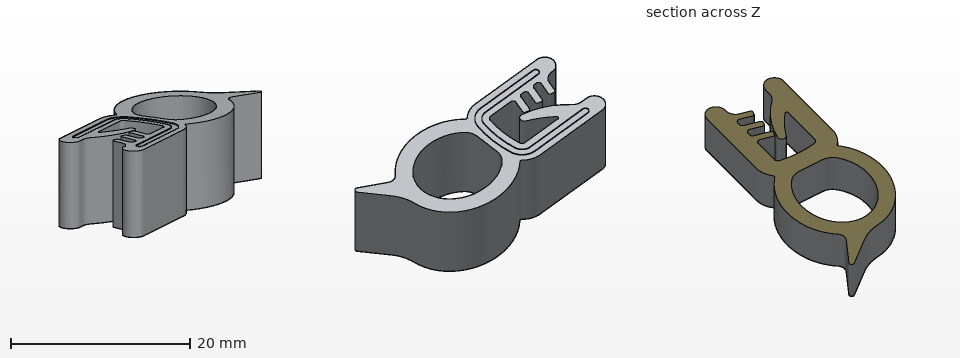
import cadquery as cq
import math

LENGTH = 10.0

SLOT_HALF_WIDTH = 2.75
SLOT_TOP = 11.52
SLOT_CORNER_RADIUS = 0.5
CROWN_RADIUS = 12.5
WALL = 2.5
FOOT_RADIUS = WALL / 2
CROWN_CENTER_Y = SLOT_TOP - CROWN_RADIUS
CORNER_X = SLOT_HALF_WIDTH - SLOT_CORNER_RADIUS
CORNER_REACH = CROWN_RADIUS - SLOT_CORNER_RADIUS
CORNER_Y = CROWN_CENTER_Y + math.sqrt(CORNER_REACH**2 - CORNER_X**2)
CORNER_ANGLE = math.atan2(CORNER_Y - CROWN_CENTER_Y, CORNER_X)

CARRIER_THICKNESS = 0.8
CARRIER_INNER_OFFSET = (WALL - CARRIER_THICKNESS) / 2
CARRIER_FOOT_Y = 2.65
CARRIER_RECESS = 0.1

BULB_CENTER_Y = 18.63
BULB_RADIUS_X = 6.5
BULB_RADIUS_Y = 7.4
BULB_WALL = 2.0
BULB_FLOOR_Y = 14.0
BULB_FLOOR_FILLET = 2.0
NOTCH_FILLET = 0.2
NOTCH = (4.3, 13.0)

LIP_TIP = (5.11, 29.17)
LIP_TIP_RADIUS = 0.33
LIP_LEFT_ANGLE = math.radians(37.9)
LIP_RIGHT_ANGLE = math.radians(59.5)
LIP_LEFT_LENGTH = 6.2
LIP_RIGHT_LENGTH = 5.0
LIP_LEFT_CORNER = (0.5, 26.0)
LIP_RIGHT_CORNER = (3.2, 25.1)
LIP_LEFT_FILLET = 5.0
LIP_RIGHT_FILLET = 1.0

HOOK_TIP = (-0.02, 8.3)
HOOK_TIP_RADIUS = 0.52
HOOK_TIP_UPPER_ANGLE = math.radians(153)
HOOK_TIP_LOWER_ANGLE = math.radians(-13)
HOOK_UPPER_MID = (-1.55, 6.7)
HOOK_UPPER_ROOT = (-2.9, 5.02)
HOOK_LOWER_MID = (-0.61, 5.27)
HOOK_LOWER_ROOT = (-2.27, 3.13)
HOOK_ROOT_DEPTH = 0.5
HOOK_UPPER_CORNER = (-SLOT_HALF_WIDTH, 5.2)
HOOK_LOWER_CORNER = (-SLOT_HALF_WIDTH, 2.65)
HOOK_UPPER_FILLET = 0.2
HOOK_LOWER_FILLET = 1.5

RIB_COUNT = 3
RIB_PITCH = 1.975
RIB_THICKNESS = 0.88
RIB_ANGLE = math.radians(16)
RIB_TIP_X = 0.42
RIB_TIP_Y = 3.5
RIB_LENGTH = 3.0
RIB_TIP_FILLET = 0.25
RIB_ROOT_FILLET = 0.35
LOWEST_RIB_FILLET = 1.3


def polar(center, radius, angle):
    return (center[0] + radius * math.cos(angle), center[1] + radius * math.sin(angle))


def mirrored(point):
    return (-point[0], point[1])


def trace_arch(profile, offset, foot_y, rightward):
    """Adds the arch at this offset from the slot outline, from one foot to the other."""
    radius = SLOT_CORNER_RADIUS + offset
    corner = (CORNER_X, CORNER_Y)
    foot = (SLOT_HALF_WIDTH + offset, foot_y)
    side_end = (SLOT_HALF_WIDTH + offset, CORNER_Y)
    corner_mid = polar(corner, radius, CORNER_ANGLE / 2)
    crown_end = polar(corner, radius, CORNER_ANGLE)
    apex = (0, SLOT_TOP + offset)
    points = [foot, side_end, corner_mid, crown_end, apex]
    points += [mirrored(point) for point in reversed(points[:-1])]
    if rightward:
        points.reverse()
    return (
        profile.lineTo(*points[1])
        .threePointArc(points[2], points[3])
        .threePointArc(points[4], points[5])
        .threePointArc(points[6], points[7])
        .lineTo(*points[8])
    )


def arch_band(inner_offset, outer_offset, foot_y):
    """U-shaped strip between two offsets of the slot outline, with round feet."""
    inner_x = SLOT_HALF_WIDTH + inner_offset
    outer_x = SLOT_HALF_WIDTH + outer_offset
    foot_x = (inner_x + outer_x) / 2
    bottom_y = foot_y - (outer_offset - inner_offset) / 2
    profile = cq.Workplane("XY").moveTo(-outer_x, foot_y)
    profile = trace_arch(profile, outer_offset, foot_y, True)
    profile = profile.threePointArc((foot_x, bottom_y), (inner_x, foot_y))
    profile = trace_arch(profile, inner_offset, foot_y, False)
    profile = profile.threePointArc((-foot_x, bottom_y), (-outer_x, foot_y))
    return profile.close().extrude(LENGTH)


def slot_block():
    """The slot as a solid, widened to the middle of the clip wall."""
    offset = WALL / 2
    profile = cq.Workplane("XY").moveTo(-SLOT_HALF_WIDTH - offset, FOOT_RADIUS)
    profile = trace_arch(profile, offset, FOOT_RADIUS, True)
    return profile.close().extrude(LENGTH)


def fillet_upright_edges(body, radius, points):
    """Rounds the edge along Z that is nearest to each point."""
    for x, y in points:
        edges = body.edges(cq.NearestToPointSelector((x, y, LENGTH / 2)))
        body = edges.fillet(radius)
    return body


def bulb_outside():
    return (
        cq.Workplane("XY")
        .center(0, BULB_CENTER_Y)
        .ellipse(BULB_RADIUS_X, BULB_RADIUS_Y)
        .extrude(LENGTH)
    )


def bulb_hole():
    radius_x = BULB_RADIUS_X - BULB_WALL
    radius_y = BULB_RADIUS_Y - BULB_WALL
    hole = cq.Workplane("XY").center(0, BULB_CENTER_Y).ellipse(radius_x, radius_y).extrude(LENGTH)
    below_floor = (
        cq.Workplane("XY")
        .rect(2 * BULB_RADIUS_X, 2 * BULB_FLOOR_Y)
        .extrude(LENGTH)
    )
    hole = hole.cut(below_floor)
    floor_drop = (BULB_CENTER_Y - BULB_FLOOR_Y) / radius_y
    floor_end = (radius_x * math.sqrt(1 - floor_drop**2), BULB_FLOOR_Y)
    return fillet_upright_edges(hole, BULB_FLOOR_FILLET, [floor_end, mirrored(floor_end)])


def lip():
    left_tip = polar(LIP_TIP, LIP_TIP_RADIUS, LIP_LEFT_ANGLE + math.pi / 2)
    right_tip = polar(LIP_TIP, LIP_TIP_RADIUS, LIP_RIGHT_ANGLE - math.pi / 2)
    far_tip = polar(LIP_TIP, LIP_TIP_RADIUS, (LIP_LEFT_ANGLE + LIP_RIGHT_ANGLE) / 2)
    return (
        cq.Workplane("XY")
        .moveTo(*polar(left_tip, -LIP_LEFT_LENGTH, LIP_LEFT_ANGLE))
        .lineTo(*left_tip)
        .threePointArc(far_tip, right_tip)
        .lineTo(*polar(right_tip, -LIP_RIGHT_LENGTH, LIP_RIGHT_ANGLE))
        .close()
        .extrude(LENGTH)
    )


def hook():
    upper_tip = polar(HOOK_TIP, HOOK_TIP_RADIUS, HOOK_TIP_UPPER_ANGLE)
    top = polar(HOOK_TIP, HOOK_TIP_RADIUS, (HOOK_TIP_UPPER_ANGLE + HOOK_TIP_LOWER_ANGLE) / 2)
    lower_tip = polar(HOOK_TIP, HOOK_TIP_RADIUS, HOOK_TIP_LOWER_ANGLE)
    wall_x = -SLOT_HALF_WIDTH - HOOK_ROOT_DEPTH
    wall_y = HOOK_LOWER_ROOT[1] - (HOOK_LOWER_ROOT[0] - wall_x)
    return (
        cq.Workplane("XY")
        .moveTo(*HOOK_UPPER_ROOT)
        .threePointArc(HOOK_UPPER_MID, upper_tip)
        .threePointArc(top, lower_tip)
        .threePointArc(HOOK_LOWER_MID, HOOK_LOWER_ROOT)
        .lineTo(wall_x, wall_y)
        .lineTo(wall_x, HOOK_UPPER_ROOT[1])
        .close()
        .extrude(LENGTH)
    )


def rib(index):
    tip = (RIB_TIP_X, RIB_TIP_Y + index * RIB_PITCH)
    return (
        cq.Workplane("XY")
        .box(RIB_LENGTH, RIB_THICKNESS, LENGTH, centered=(False, True, False))
        .edges("|Z and <X")
        .fillet(RIB_TIP_FILLET)
        .rotate((0, 0, 0), (0, 0, 1), -math.degrees(RIB_ANGLE))
        .translate((*tip, 0))
    )


def rib_root(index, side):
    """Corner between the slot wall and the upper (+1) or lower (-1) side of a rib."""
    middle = RIB_TIP_Y + index * RIB_PITCH - (SLOT_HALF_WIDTH - RIB_TIP_X) * math.tan(RIB_ANGLE)
    return (SLOT_HALF_WIDTH, middle + side * RIB_THICKNESS / 2 / math.cos(RIB_ANGLE))


body = bulb_outside().union(lip()).cut(slot_block())
body = body.union(arch_band(0, WALL, FOOT_RADIUS))
body = body.cut(bulb_hole())
body = fillet_upright_edges(body, LIP_LEFT_FILLET, [LIP_LEFT_CORNER])
body = fillet_upright_edges(body, LIP_RIGHT_FILLET, [LIP_RIGHT_CORNER])
body = fillet_upright_edges(body, NOTCH_FILLET, [NOTCH, mirrored(NOTCH)])

body = body.union(hook())
body = fillet_upright_edges(body, HOOK_UPPER_FILLET, [HOOK_UPPER_CORNER])
body = fillet_upright_edges(body, HOOK_LOWER_FILLET, [HOOK_LOWER_CORNER])
for rib_index in range(RIB_COUNT):
    lower_fillet = LOWEST_RIB_FILLET if rib_index == 0 else RIB_ROOT_FILLET
    body = body.union(rib(rib_index))
    body = fillet_upright_edges(body, RIB_ROOT_FILLET, [rib_root(rib_index, 1)])
    body = fillet_upright_edges(body, lower_fillet, [rib_root(rib_index, -1)])

carrier = arch_band(CARRIER_INNER_OFFSET, CARRIER_INNER_OFFSET + CARRIER_THICKNESS, CARRIER_FOOT_Y)
result = body.cut(carrier.translate((0, 0, LENGTH - CARRIER_RECESS)))